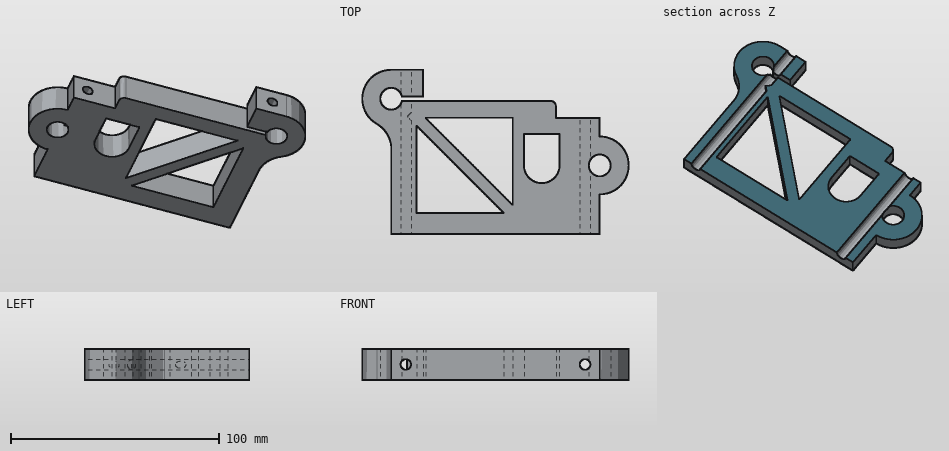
import cadquery as cq
import math

overall_length = 128.0
overall_width = 79.0
thickness = 15.0
lug_radius = 14.0
plate_length = overall_length - 2 * lug_radius
shoulder_height = 55.8
step_x = 79.1
step_corner_radius = 2.5

bore_diameter = 10.4
hook_y = overall_width - lug_radius
hook_length = 15.4
clamp_gap = 2.0
plate_top = hook_y - clamp_gap / 2
neck_radius = lug_radius
lug_y = 33.0

window_left = 12.2
window_bottom = 10.2
window_width = 46.1
window_height = shoulder_height - window_bottom
brace_width = 5.8
brace_length = 72.4
brace_angle = -45

slot_left = 63.7
slot_width = 17.0
slot_top = 48.0
slot_bottom = 24.6

screw_diameter = 5.0
screw_inset = 7.0


def make_body():
    neck_drop = math.sqrt((lug_radius + neck_radius) ** 2 - neck_radius**2)
    neck_center_y = hook_y - neck_drop
    neck_share = neck_radius / (lug_radius + neck_radius)
    neck_end = (-neck_radius * (1 - neck_share), neck_center_y + neck_drop * neck_share)
    neck_mid_angle = math.atan2(neck_drop, neck_radius) / 2
    neck_mid = (
        neck_radius * (math.cos(neck_mid_angle) - 1),
        neck_center_y + neck_radius * math.sin(neck_mid_angle),
    )
    outline = (
        cq.Workplane("XY")
        .lineTo(plate_length, 0)
        .lineTo(plate_length, lug_y - lug_radius)
        .threePointArc((plate_length + lug_radius, lug_y), (plate_length, lug_y + lug_radius))
        .lineTo(plate_length, shoulder_height)
        .lineTo(step_x, shoulder_height)
        .lineTo(step_x, plate_top - step_corner_radius)
        .radiusArc((step_x - step_corner_radius, plate_top), -step_corner_radius)
        .lineTo(0, plate_top)
        .lineTo(0, plate_top + clamp_gap)
        .lineTo(hook_length, plate_top + clamp_gap)
        .lineTo(hook_length, overall_width)
        .lineTo(0, overall_width)
        .threePointArc((-lug_radius, hook_y), neck_end)
        .threePointArc(neck_mid, (0, neck_center_y))
        .close()
    )
    return outline.extrude(thickness)


def make_bores():
    centers = [(0, hook_y), (plate_length, lug_y)]
    return cq.Workplane("XY").pushPoints(centers).circle(bore_diameter / 2).extrude(thickness)


def make_window():
    return (
        cq.Workplane("XY")
        .moveTo(window_left, window_bottom)
        .rect(window_width, window_height, centered=False)
        .extrude(thickness)
    )


def make_slot():
    slot_right = slot_left + slot_width
    arc_y = slot_bottom + slot_width / 2
    return (
        cq.Workplane("XY")
        .moveTo(slot_left, slot_top)
        .lineTo(slot_left, arc_y)
        .threePointArc((slot_left + slot_width / 2, slot_bottom), (slot_right, arc_y))
        .lineTo(slot_right, slot_top)
        .close()
        .extrude(thickness)
    )


def make_screw_holes():
    centers = [(screw_inset, thickness / 2), (plate_length - screw_inset, thickness / 2)]
    return cq.Workplane("XZ").pushPoints(centers).circle(screw_diameter / 2).extrude(-overall_width)


def make_brace():
    center = (window_left + window_width / 2, window_bottom + window_height / 2, 0)
    brace = cq.Workplane("XY").rect(brace_length, brace_width).extrude(thickness)
    return brace.rotate((0, 0, 0), (0, 0, 1), brace_angle).translate(center)


plate = make_body()
for cutter in (make_bores(), make_window(), make_slot(), make_screw_holes()):
    plate = plate.cut(cutter)

result = plate.union(make_brace())